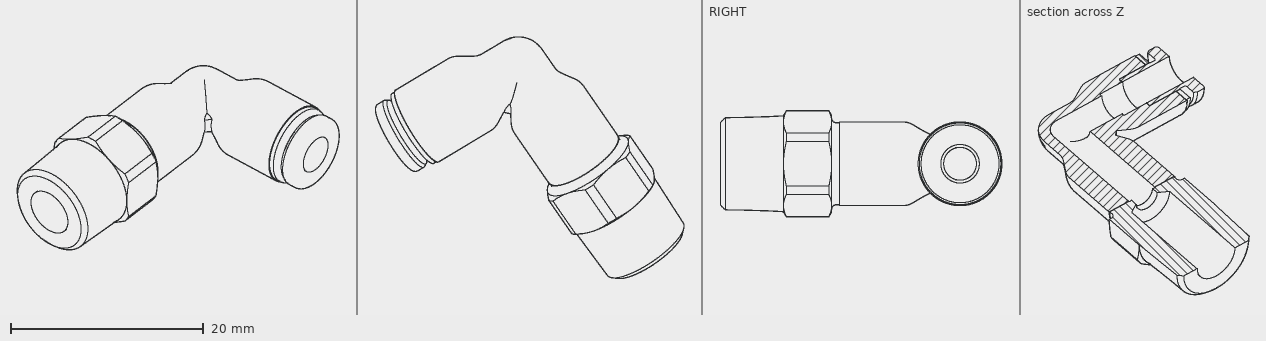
import cadquery as cq
import math


NECK_RADIUS = 2.97
BARREL_RADIUS = 4.35
TUBE_FLARE_START = 2.64
THREAD_FLARE_START = 2.46
FLARE_ANGLE = math.radians(30)
FLARE_BLEND = 2.0
ARM_LENGTH = 12.5
WEB_THICKNESS = 1.65
WEB_REACH = 7.26
PASSAGE_RADIUS = 1.7

TUBE_RADIUS = 2.0
TUBE_STOP = 6.0
GUIDE_RADIUS = 4.23
GUIDE_END = 13.0
STEM_RADIUS = 2.5
STEM_FILLET = 0.12
STEM_START = 9.0
FLANGE_RADIUS = 4.04
FLANGE_START = 13.74
FLANGE_END = 15.19
FLANGE_BEVEL_LENGTH = 0.36
FLANGE_BEVEL_HEIGHT = 0.2
FLANGE_ROUND = 0.35

COLLAR_RADIUS = 4.27
COLLAR_FILLET = 0.45
HEX_FLATS = 10.0
HEX_CORNER_RADIUS = 5.5
HEX_FACE_RADIUS = 5.0
HEX_CHAMFER_LENGTH = 0.29
HEX_START = 13.3
HEX_END = 18.3
STUD_END = 24.83
THREAD_RADIUS = 4.98
THREAD_TAPER = 1 / 32
THREAD_CHAMFER = 0.5
STUD_BORE_RADIUS = 2.5
STUD_OUTLET_RADIUS = 1.38
BORE_TIP_HALF_ANGLE = math.radians(60)
BORE_CONE_LENGTH = (STUD_BORE_RADIUS - STUD_OUTLET_RADIUS) / math.tan(BORE_TIP_HALF_ANGLE)


def revolve(profile):
    """Turn a closed (distance along X, radius) profile about the X axis."""
    return profile.close().revolve(360, (0, 0, 0), (1, 0, 0))


def rod(radius, start, end):
    """Cylinder on the X axis."""
    return cq.Workplane("YZ", origin=(start, 0, 0)).circle(radius).extrude(end - start)


def to_threaded_arm(body):
    """Swing a body from the X axis onto the -Y axis."""
    return body.rotate((0, 0, 0), (0, 0, 1), -90)


def make_arm(flare_start):
    """One housing arm on the X axis, from the corner through the flare to the barrel end."""
    blend_length = FLARE_BLEND * math.sin(FLARE_ANGLE)
    blend_rise = FLARE_BLEND * (1 - math.cos(FLARE_ANGLE))
    mid_length = FLARE_BLEND * math.sin(FLARE_ANGLE / 2)
    mid_rise = FLARE_BLEND * (1 - math.cos(FLARE_ANGLE / 2))
    cone_start_radius = NECK_RADIUS + blend_rise
    cone_end_radius = BARREL_RADIUS - blend_rise
    cone_start = flare_start + blend_length
    cone_end = cone_start + (cone_end_radius - cone_start_radius) / math.tan(FLARE_ANGLE)
    flare_end = cone_end + blend_length
    profile = (
        cq.Workplane("XY")
        .lineTo(0, NECK_RADIUS)
        .lineTo(flare_start, NECK_RADIUS)
        .threePointArc((flare_start + mid_length, NECK_RADIUS + mid_rise), (cone_start, cone_start_radius))
        .lineTo(cone_end, cone_end_radius)
        .threePointArc((flare_end - mid_length, BARREL_RADIUS - mid_rise), (flare_end, BARREL_RADIUS))
        .lineTo(ARM_LENGTH, BARREL_RADIUS)
        .lineTo(ARM_LENGTH, 0)
    )
    return revolve(profile)


def make_web():
    """Thin triangular web filling the inner corner between the arms."""
    return (
        cq.Workplane("XY", origin=(0, 0, -WEB_THICKNESS / 2))
        .polyline([(0, 0), (WEB_REACH, 0), (0, -WEB_REACH)])
        .close()
        .extrude(WEB_THICKNESS)
    )


def make_elbow():
    """Housing: round corner, two arms, web, L-shaped passage and stepped tube socket."""
    tube_arm = make_arm(TUBE_FLARE_START)
    threaded_arm = to_threaded_arm(make_arm(THREAD_FLARE_START))
    passage = rod(PASSAGE_RADIUS, 0, ARM_LENGTH)
    elbow = cq.Workplane("XY").sphere(NECK_RADIUS).union(tube_arm).union(threaded_arm).union(make_web())
    elbow = elbow.cut(cq.Workplane("XY").sphere(PASSAGE_RADIUS))
    elbow = elbow.cut(passage).cut(to_threaded_arm(passage))
    elbow = elbow.cut(rod(TUBE_RADIUS, TUBE_STOP, STEM_START))
    return elbow.cut(rod(STEM_RADIUS, STEM_START, ARM_LENGTH))


def make_guide():
    """Ring on the end of the tube arm, around the release collet's stem."""
    return rod(GUIDE_RADIUS, ARM_LENGTH, GUIDE_END).cut(rod(STEM_RADIUS, ARM_LENGTH, GUIDE_END))


def make_collet():
    """Release collet: bored stem with a bevelled and rounded push flange."""
    profile = (
        cq.Workplane("XY")
        .moveTo(STEM_START, TUBE_RADIUS)
        .lineTo(STEM_START, STEM_RADIUS)
        .lineTo(FLANGE_START - STEM_FILLET, STEM_RADIUS)
        .radiusArc((FLANGE_START, STEM_RADIUS + STEM_FILLET), -STEM_FILLET)
        .lineTo(FLANGE_START, FLANGE_RADIUS - FLANGE_BEVEL_HEIGHT)
        .lineTo(FLANGE_START + FLANGE_BEVEL_LENGTH, FLANGE_RADIUS)
        .lineTo(FLANGE_END - FLANGE_ROUND, FLANGE_RADIUS)
        .radiusArc((FLANGE_END, FLANGE_RADIUS - FLANGE_ROUND), FLANGE_ROUND)
        .lineTo(FLANGE_END, TUBE_RADIUS)
    )
    return revolve(profile)


def make_hexagon():
    """Wrench hexagon on the X axis with turned corners and chamfered ends."""
    prism = (
        cq.Workplane("YZ", origin=(HEX_START, 0, 0))
        .polygon(6, HEX_FLATS, circumscribed=True)
        .extrude(HEX_END - HEX_START)
    )
    turned_profile = (
        cq.Workplane("XY")
        .moveTo(HEX_START, 0)
        .lineTo(HEX_START, HEX_FACE_RADIUS)
        .lineTo(HEX_START + HEX_CHAMFER_LENGTH, HEX_CORNER_RADIUS)
        .lineTo(HEX_END - HEX_CHAMFER_LENGTH, HEX_CORNER_RADIUS)
        .lineTo(HEX_END, HEX_FACE_RADIUS)
        .lineTo(HEX_END, 0)
    )
    return prism.intersect(revolve(turned_profile))


def make_stud():
    """Stud: filleted collar, hexagon, tapered thread body and a bore with a conical bottom and outlet."""
    thread_end_radius = THREAD_RADIUS - THREAD_TAPER * (STUD_END - THREAD_CHAMFER - HEX_END)
    collar_profile = (
        cq.Workplane("XY")
        .moveTo(ARM_LENGTH, 0)
        .lineTo(ARM_LENGTH, COLLAR_RADIUS)
        .lineTo(HEX_START - COLLAR_FILLET, COLLAR_RADIUS)
        .radiusArc((HEX_START, COLLAR_RADIUS + COLLAR_FILLET), -COLLAR_FILLET)
        .lineTo(HEX_START, 0)
    )
    thread_profile = (
        cq.Workplane("XY")
        .moveTo(HEX_END, 0)
        .lineTo(HEX_END, THREAD_RADIUS)
        .lineTo(STUD_END - THREAD_CHAMFER, thread_end_radius)
        .lineTo(STUD_END, thread_end_radius - THREAD_CHAMFER)
        .lineTo(STUD_END, 0)
    )
    bore_profile = (
        cq.Workplane("XY")
        .moveTo(ARM_LENGTH, 0)
        .lineTo(ARM_LENGTH, STUD_OUTLET_RADIUS)
        .lineTo(HEX_START, STUD_OUTLET_RADIUS)
        .lineTo(HEX_START + BORE_CONE_LENGTH, STUD_BORE_RADIUS)
        .lineTo(STUD_END, STUD_BORE_RADIUS)
        .lineTo(STUD_END, 0)
    )
    stud = make_hexagon().union(revolve(collar_profile)).union(revolve(thread_profile))
    return to_threaded_arm(stud.cut(revolve(bore_profile)))


elbow = make_elbow()
guide = make_guide()
collet = make_collet()
stud = make_stud()

result = cq.Compound.makeCompound([elbow.val(), guide.val(), collet.val(), stud.val()])